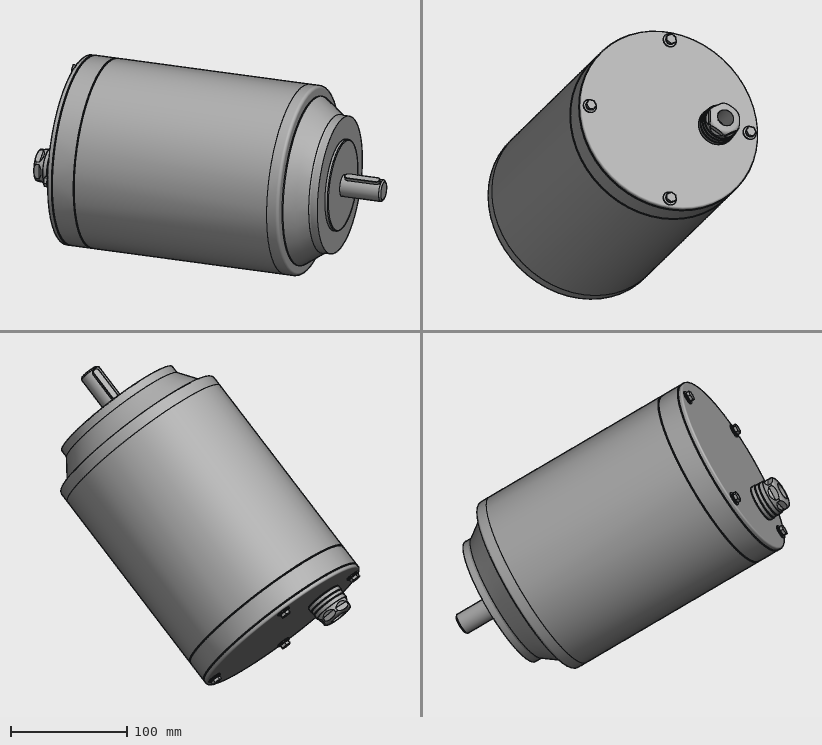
import cadquery as cq
import math


motor_radius = 82.8

mount_radius = 60.0
register_radius = 40.0
register_height = 3.0
register_chamfer = 0.8
mount_disc_thickness = 5.9
neck_length = 1.8
neck_rise = 0.5
cone_base_radius = 73.8
cone_base_x = -26.5
cone_base_step = 1.0
rim_length = 10.9
rim_fillet = 2.7

tube_length = 175.3
cover_ring_length = 20.8
cover_plate_thickness = 3.9
cover_edge_fillet = 1.6
groove_width = 0.9
groove_depth = 0.5

screw_count = 4
screw_circle_radius = 74.5
washer_radius = 6.0
washer_thickness = 1.0
screw_collar_radius = 4.0
screw_collar_height = 0.8
screw_head_height = 2.7
screw_head_across_flats = 8.0

gland_y = -43.1
gland_length = 22.2
gland_bore_radius = 7.4
gland_nut_radius = 15.0
gland_nose_length = 3.0
gland_nose_fillet = 4.0
gland_face_rise = 0.6
gland_face_radius = 11.8
gland_body_radius = 15.9
gland_body_x = 10.0
gland_base_radius = 16.45
gland_base_x = 17.2
gland_base_edge_length = 0.9
gland_base_edge_height = 0.3
gland_groove_x = 13.6
gland_groove_width = 0.8
gland_groove_depth = 0.5
gland_hex_across_flats = 27.0
gland_hex_length = 5.9

shaft_radius = 9.5
shaft_length = 40.0
shaft_chamfer = 1.5
shaft_angle = 19.0
key_width = 6.0
key_height = 6.0
key_chamfer = 0.3
key_length = 32.0
keyway_depth = 3.5
key_end_gap = 2.3

rim_face_x = cone_base_x - cone_base_step
tube_end_x = rim_face_x - rim_length
tube_start_x = tube_end_x - tube_length
ring_start_x = tube_start_x - cover_ring_length
cover_face_x = ring_start_x - cover_plate_thickness


def x_cylinder(radius, x_start, x_end):
    return cq.Workplane("YZ").workplane(offset=x_start).circle(radius).extrude(x_end - x_start)


def x_hexagon(across_flats, x_start, length, taper=0):
    """Hexagonal prism along X with two flats facing +Y and -Y."""
    across_corners = across_flats / math.cos(math.pi / 6)
    plane = cq.Workplane("YZ").workplane(offset=x_start).transformed(rotate=(0, 0, 90))
    return plane.polygon(6, across_corners).extrude(length, taper=taper)


def make_cover():
    cover = x_cylinder(motor_radius, cover_face_x, tube_start_x)
    cover = cover.faces("<X").edges().fillet(cover_edge_fillet)
    for groove_start in (ring_start_x, tube_start_x - groove_width):
        groove_end = groove_start + groove_width
        groove = x_cylinder(motor_radius, groove_start, groove_end)
        groove_floor = x_cylinder(motor_radius - groove_depth, groove_start, groove_end)
        cover = cover.cut(groove.cut(groove_floor))
    for index in range(screw_count):
        cover = cover.union(make_screw().rotate((0, 0, 0), (1, 0, 0), index * 360 / screw_count))
    return cover


def make_screw():
    """Washer and hexagon head standing on the cover face at the +Z place."""
    washer_x = cover_face_x - washer_thickness
    collar_x = washer_x - screw_collar_height
    screw = x_cylinder(washer_radius, washer_x, cover_face_x)
    screw = screw.union(x_cylinder(screw_collar_radius, collar_x, washer_x))
    screw = screw.union(x_hexagon(screw_head_across_flats, collar_x, -screw_head_height))
    return screw.translate((0, 0, screw_circle_radius))


def make_gland():
    groove_bottom = gland_body_radius - gland_groove_depth
    base_edge_radius = gland_base_radius - gland_base_edge_height
    groove_end_x = gland_groove_x + gland_groove_width
    gland = (
        cq.Workplane("XY")
        .moveTo(0, gland_bore_radius)
        .lineTo(gland_face_rise, gland_face_radius)
        .radiusArc((gland_nose_length, gland_nut_radius), gland_nose_fillet)
        .lineTo(gland_body_x, gland_nut_radius)
        .lineTo(gland_body_x, gland_body_radius)
        .lineTo(gland_groove_x, gland_body_radius)
        .lineTo(gland_groove_x, groove_bottom)
        .lineTo(groove_end_x, groove_bottom)
        .lineTo(groove_end_x, gland_body_radius)
        .lineTo(gland_base_x, gland_body_radius)
        .lineTo(gland_base_x, base_edge_radius)
        .lineTo(gland_base_x + gland_base_edge_length, gland_base_radius)
        .lineTo(gland_length - gland_base_edge_length, gland_base_radius)
        .lineTo(gland_length, base_edge_radius)
        .lineTo(gland_length, gland_bore_radius)
        .close()
        .revolve(360, (0, 0, 0), (1, 0, 0))
    )
    nut_zone = x_cylinder(gland_base_radius, 0, gland_body_x)
    runout_length = gland_body_x - gland_hex_length
    runout_rise = gland_body_radius - gland_hex_across_flats / 2
    runout_angle = math.degrees(math.atan2(runout_rise, runout_length))
    flats = x_hexagon(gland_hex_across_flats, 0, gland_hex_length)
    runout = x_hexagon(gland_hex_across_flats, gland_hex_length, runout_length, -runout_angle)
    flats = flats.union(runout)
    gland = gland.cut(nut_zone.cut(flats))
    return gland.translate((cover_face_x - gland_length, gland_y, 0))


def make_tube():
    return x_cylinder(motor_radius, tube_start_x, tube_end_x)


def make_flange():
    disc_start_x = -mount_disc_thickness
    flange = (
        cq.Workplane("XY")
        .moveTo(tube_end_x, shaft_radius)
        .lineTo(tube_end_x, motor_radius)
        .lineTo(rim_face_x - rim_fillet, motor_radius)
        .radiusArc((rim_face_x, motor_radius - rim_fillet), rim_fillet)
        .lineTo(rim_face_x, cone_base_radius)
        .lineTo(cone_base_x, cone_base_radius)
        .lineTo(disc_start_x - neck_length, mount_radius + neck_rise)
        .lineTo(disc_start_x, mount_radius)
        .lineTo(0, mount_radius)
        .lineTo(0, register_radius)
        .lineTo(register_height - register_chamfer, register_radius)
        .lineTo(register_height, register_radius - register_chamfer)
        .lineTo(register_height, shaft_radius)
        .close()
        .revolve(360, (0, 0, 0), (1, 0, 0))
    )
    return flange


def key_blank():
    """Round-ended key, its long axis along X, seated in the +Z side of the shaft."""
    key_center_x = shaft_length - key_end_gap - key_length / 2
    seat_z = shaft_radius - keyway_depth
    return (
        cq.Workplane("XY")
        .workplane(offset=seat_z)
        .center(key_center_x, 0)
        .slot2D(key_length, key_width)
        .extrude(key_height)
    )


def turn_with_shaft(body):
    return body.rotate((0, 0, 0), (1, 0, 0), shaft_angle)


def make_shaft():
    shaft = x_cylinder(shaft_radius, tube_end_x, shaft_length)
    shaft = shaft.faces(">X").edges().chamfer(shaft_chamfer)
    return turn_with_shaft(shaft.cut(key_blank()))


def make_key():
    return turn_with_shaft(key_blank().faces(">Z").edges().chamfer(key_chamfer))


cover = make_cover()
gland = make_gland()
tube = make_tube()
flange = make_flange()
shaft = make_shaft()
key = make_key()

result = cq.Compound.makeCompound([
    cover.val(),
    gland.val(),
    tube.val(),
    flange.val(),
    shaft.val(),
    key.val(),
])